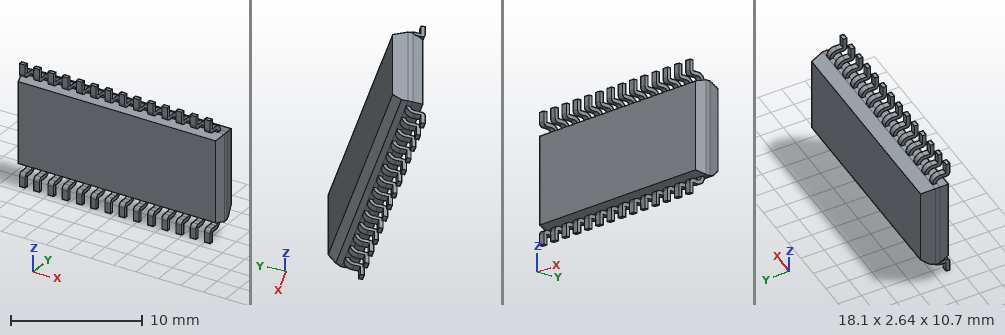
import cadquery as cq


length = 18.08
thickness = 2.64
height = 10.67

leads_per_row = 14
lead_width = 0.5
lead_thickness = 0.33
row_span = 16.5
first_lead_inset = 0.76
foot_length = 0.85
bend_start = 0.81
bend_radius = 0.35
lead_embed = 0.18

body_height = 7.6
standoff = 0.27
band_front = 1.14
band_back = 1.52
front_inset = 0.24
back_inset = 0.3

bevel_height = 0.69
bevel_depth = 0.65


def drafted_half(start_y, end_y, inset):
    """Solid tapering from the full outline at start_y to an outline drawn in by inset at end_y."""
    return (
        cq.Workplane("XZ", origin=(0, start_y, 0))
        .rect(length, body_height)
        .workplane(offset=start_y - end_y)
        .rect(length - 2 * inset, body_height - 2 * inset)
        .loft(ruled=True)
    )


def make_body():
    """Upright band around the rim, tapering to the front and back faces, with the lower back bevel."""
    band = (
        cq.Workplane("XZ", origin=(0, band_back, 0))
        .rect(length, body_height)
        .extrude(band_back - band_front)
    )
    front_half = drafted_half(band_front, standoff, front_inset)
    back_half = drafted_half(band_back, thickness, back_inset)
    return band.union(front_half).union(back_half).cut(make_bevel())


def make_bevel():
    """Wedge removed along the lower back edge over the full length."""
    bottom = -body_height / 2
    bevel_start = thickness - bevel_depth
    drafted_rise = back_inset * (bevel_start - band_back) / (thickness - band_back)
    return (
        cq.Workplane("YZ", origin=(-length / 2, 0, 0))
        .moveTo(bevel_start, bottom + drafted_rise)
        .lineTo(thickness, bottom + bevel_height)
        .lineTo(thickness, bottom)
        .lineTo(bevel_start, bottom)
        .close()
        .extrude(length)
    )


def make_upper_lead(center_x):
    """Foot at the front, a leg running back, and a rounded bend down into the body."""
    tip = height / 2
    leg_outer = tip - foot_length
    leg_inner = leg_outer - lead_thickness
    bend_end = leg_inner - bend_radius
    root_end = body_height / 2 - lead_embed
    outer_radius = bend_radius + lead_thickness
    root_front = bend_start + bend_radius
    root_back = bend_start + outer_radius
    return (
        cq.Workplane("YZ", origin=(center_x, 0, 0))
        .moveTo(0, tip)
        .lineTo(lead_thickness, tip)
        .lineTo(lead_thickness, leg_outer)
        .lineTo(bend_start, leg_outer)
        .radiusArc((root_back, bend_end), outer_radius)
        .lineTo(root_back, root_end)
        .lineTo(root_front, root_end)
        .lineTo(root_front, bend_end)
        .radiusArc((bend_start, leg_inner), -bend_radius)
        .lineTo(lead_thickness, leg_inner)
        .radiusArc((0, leg_outer), lead_thickness)
        .close()
        .extrude(lead_width / 2, both=True)
    )


result = make_body()
pitch = row_span / (leads_per_row - 1)
for index in range(leads_per_row):
    upper_lead = make_upper_lead(-length / 2 + first_lead_inset + index * pitch)
    result = result.union(upper_lead).union(upper_lead.mirror("XY"))